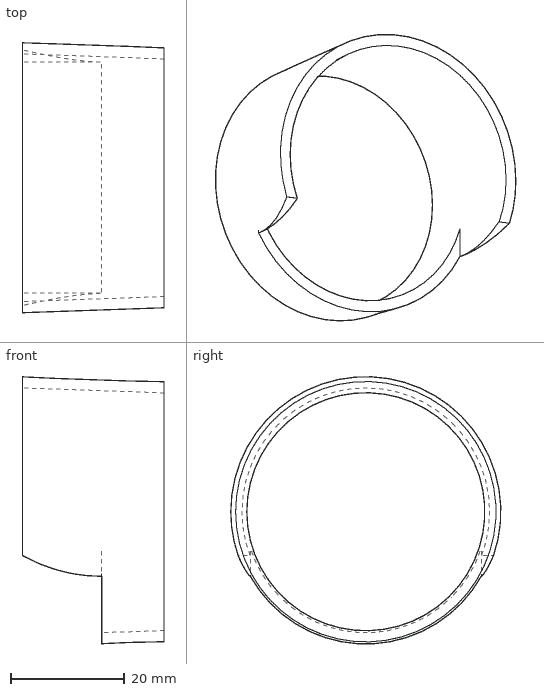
import cadquery as cq
import math

RING_LENGTH = 25.0
SMALL_END_RADIUS = 23.0
WALL = 2.0
TAPER_ANGLE = 2.0

OPENING_LENGTH = 14.0
OPENING_HALF_WIDTH = 20.4
OPENING_START_Z = -7.75

TAPER_SLOPE = math.tan(math.radians(TAPER_ANGLE))
LARGE_END_RADIUS = SMALL_END_RADIUS + RING_LENGTH * TAPER_SLOPE
CUT_REACH = 2 * LARGE_END_RADIUS


def outer_radius(x):
    return LARGE_END_RADIUS - x * TAPER_SLOPE


def tapered_ring():
    """Wall section on the -Y side, turned fully around the X axis."""
    wall_section = [
        (0, WALL - LARGE_END_RADIUS),
        (0, -LARGE_END_RADIUS),
        (RING_LENGTH, -SMALL_END_RADIUS),
        (RING_LENGTH, WALL - SMALL_END_RADIUS),
    ]
    return cq.Workplane("XY").polyline(wall_section).close().revolve(360, (0, 0, 0), (1, 0, 0))


def flat_sided_cut():
    """Block that leaves flat vertical walls on both sides of the opening."""
    return (
        cq.Workplane("XY")
        .box(OPENING_LENGTH, 2 * OPENING_HALF_WIDTH, CUT_REACH, centered=(False, True, False))
        .translate((0, 0, -CUT_REACH))
    )


def curved_lip_cut():
    """Everything below an arc that levels out where the flat wall meets the outer cone."""
    end_z = -math.sqrt(outer_radius(OPENING_LENGTH) ** 2 - OPENING_HALF_WIDTH**2)
    drop = OPENING_START_Z - end_z
    arc_radius = (OPENING_LENGTH**2 + drop**2) / (2 * drop)
    half_sweep = math.asin(OPENING_LENGTH / arc_radius) / 2
    arc_middle = (
        OPENING_LENGTH - arc_radius * math.sin(half_sweep),
        end_z + arc_radius * (1 - math.cos(half_sweep)),
    )
    return (
        cq.Workplane("XZ")
        .moveTo(0, OPENING_START_Z)
        .threePointArc(arc_middle, (OPENING_LENGTH, end_z))
        .lineTo(OPENING_LENGTH, -CUT_REACH)
        .lineTo(0, -CUT_REACH)
        .close()
        .extrude(CUT_REACH, both=True)
    )


result = tapered_ring().cut(flat_sided_cut()).cut(curved_lip_cut())